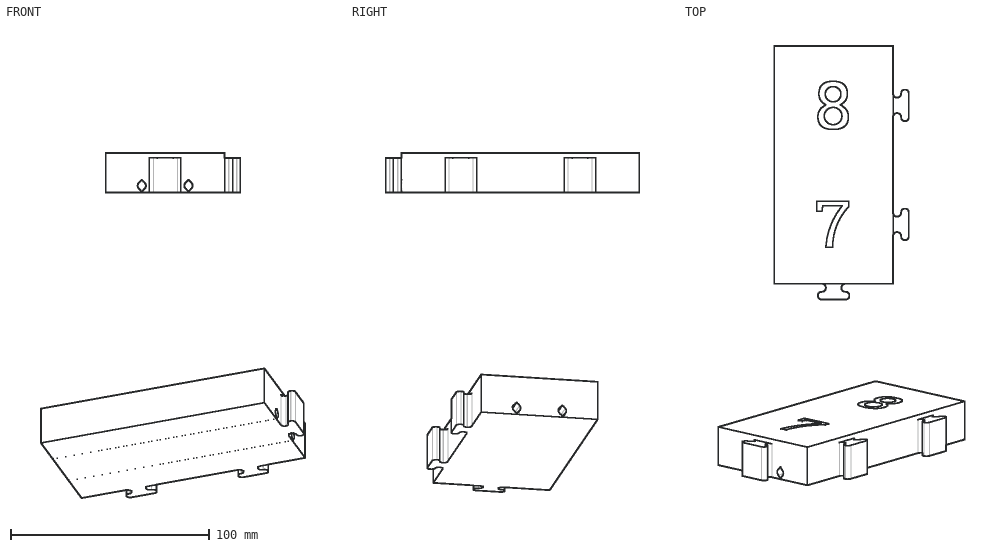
import cadquery as cq
import math

block_width = 60.0
block_length = 120.0
block_height = 20.0

lobe_depth = 4.0
head_width = 16.0
neck_width = 7.9
edge_round = 1.9
connector_height = 17.5
quarter_length = block_length / 4

hole_radius = 2.0
hole_point = hole_radius * math.sqrt(2)
hole_tangent = hole_radius / math.sqrt(2)
hole_offset = 11.8
hole_height = 3.5

inlay_depth = 1.0
numeral_x = -0.3

eight_half_height = 12.2
waist_half_width = 3.7
waist_slope_run = 1.0
waist_slope_rise = 0.6
waist_y = 0.3
upper_lobe_half_width = 7.2
lower_lobe_half_width = 7.7
lobe_middle_y = 5.8
upper_eye_radii = (4.0, 3.8)
upper_eye_y = 5.6
lower_eye_radii = (4.5, 4.4)
lower_eye_y = -5.4

seven_half_height = 11.6
seven_left = -8.3
seven_right = 7.9
bar_right_end_y = 9.1
bar_bottom_y = 9.5
serif_bottom_y = 6.7
serif_top_right = -5.2
serif_bottom_right = -5.6
stem_inner_top = 4.6
stem_inner_middle = -1.0
stem_outer_middle = 2.0
stem_inner_foot = -3.7
stem_outer_foot = -0.3


def connector():
    """Connector pointing along +X from a face at X = 0, with its root buried behind that face."""
    head = cq.Workplane("XY").box(
        lobe_depth, head_width, connector_height, centered=(False, True, False)
    )
    root = head.translate((-lobe_depth, 0, 0))
    neck = cq.Workplane("XY").box(
        lobe_depth, neck_width, connector_height, centered=(False, True, False)
    )
    bone = head.translate((lobe_depth, 0, 0)).union(neck).union(root)
    return bone.edges("|Z").fillet(edge_round)


def pointed_hole(x):
    """Round hole along Y whose top and bottom run out to 45 degree points."""
    return (
        cq.Workplane("XZ", origin=(x, block_length / 2, hole_height))
        .moveTo(0, hole_point)
        .lineTo(hole_tangent, hole_tangent)
        .threePointArc((hole_radius, 0), (hole_tangent, -hole_tangent))
        .lineTo(0, -hole_point)
        .lineTo(-hole_tangent, -hole_tangent)
        .threePointArc((-hole_radius, 0), (-hole_tangent, hole_tangent))
        .close()
        .extrude(block_length)
    )


def inlay_plane(y):
    """Floor of the inlay recess of a numeral centred at the given Y."""
    return cq.Workplane("XY", origin=(numeral_x, y, block_height - inlay_depth))


def make_eight():
    """Inlay of the numeral 8: a waisted outline, mirrored about its middle, with two oval eyes."""
    right, down, left = (1, 0), (0, -1), (-1, 0)
    into_waist = (-waist_slope_run, -waist_slope_rise)
    out_of_waist = (waist_slope_run, -waist_slope_rise)
    top = (0, eight_half_height)
    upper_side = (upper_lobe_half_width, lobe_middle_y)
    waist = (waist_half_width, waist_y)
    lower_side = (lower_lobe_half_width, -lobe_middle_y)
    bottom = (0, -eight_half_height)
    return (
        inlay_plane(quarter_length)
        .spline([top, upper_side], tangents=[right, down])
        .spline([upper_side, waist], tangents=[down, into_waist])
        .spline([waist, lower_side], tangents=[out_of_waist, down])
        .spline([lower_side, bottom], tangents=[down, left])
        .mirrorY()
        .moveTo(0, upper_eye_y)
        .ellipse(*upper_eye_radii)
        .moveTo(0, lower_eye_y)
        .ellipse(*lower_eye_radii)
        .extrude(inlay_depth)
    )


def make_seven():
    """Inlay of the numeral 7: a bar with a serif and a curved stem."""
    return (
        inlay_plane(-quarter_length)
        .moveTo(seven_left, seven_half_height)
        .lineTo(seven_right, seven_half_height)
        .lineTo(seven_right, bar_right_end_y)
        .threePointArc((stem_outer_middle, 0), (stem_outer_foot, -seven_half_height))
        .lineTo(stem_inner_foot, -seven_half_height)
        .threePointArc((stem_inner_middle, 0), (stem_inner_top, bar_bottom_y))
        .lineTo(serif_top_right, bar_bottom_y)
        .lineTo(serif_bottom_right, serif_bottom_y)
        .lineTo(seven_left, serif_bottom_y)
        .close()
        .extrude(inlay_depth)
    )


def make_block(inlays):
    """Block with its three connectors, the two long holes and a recess for each inlay."""
    block = cq.Workplane("XY").box(block_width, block_length, block_height, centered=(True, True, False))
    for y in (-quarter_length, quarter_length):
        block = block.union(connector().translate((block_width / 2, y, 0)))
    front_connector = connector().rotate((0, 0, 0), (0, 0, 1), -90)
    block = block.union(front_connector.translate((0, -block_length / 2, 0)))
    for x in (-hole_offset, hole_offset):
        block = block.cut(pointed_hole(x))
    for inlay in inlays:
        block = block.cut(inlay)
    return block


eight = make_eight()
seven = make_seven()
block = make_block([eight, seven])

result = cq.Compound.makeCompound([block.solids().val(), eight.solids().val(), seven.solids().val()])